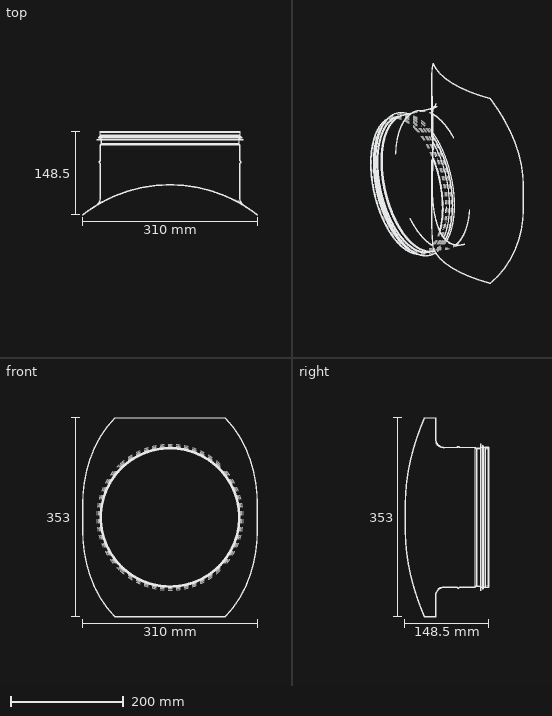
import cadquery as cq
import math


wall = 0.5
duct_inner_radius = 250.0
duct_outer_radius = duct_inner_radius + wall

flange_width = 310.0
flange_height = 353.0
straight_side = 44.0
side_arc_radius = 212.0
side_curve_steps = 8

tube_outer_radius = 247.9 / 2
tube_inner_radius = tube_outer_radius - wall
flare_radius = 15.0
total_depth = 148.47
flange_tip_y = math.sqrt(duct_inner_radius**2 - (flange_width / 2)**2)
end_y = flange_tip_y + total_depth

bead_center_y = end_y - 54.3
bead_half_width = 3.2
bead_height = 1.9
collar_start_y = bead_center_y - bead_half_width

groove_outer_radius = 244.1 / 2
groove_inner_radius = groove_outer_radius - wall
groove_step_y = end_y - 24.4
groove_floor_y = end_y - 22.0
fold_outer_radius = 248.9 / 2
fold_inner_radius = fold_outer_radius - wall
fold_end_y = end_y - 6.4
fold_bend_radius = (fold_outer_radius - groove_inner_radius) / 2
bend_center_radius = (fold_outer_radius + groove_inner_radius) / 2
bend_center_y = end_y - fold_bend_radius

gasket_base_radius = fold_inner_radius
gasket_skirt_radius = 245.3 / 2
gasket_end_y = end_y - 21.0
small_lip_radius = 254.3 / 2
small_lip_root_y = end_y - 8.3
small_lip_lean = 2.4
large_lip_radius = 259.3 / 2
large_lip_y = end_y - 13.9
lip_thickness = 1.0


def branch_cylinder(radius, length):
    return cq.Workplane("XZ").circle(radius).extrude(-length)


def flared_tee(duct_radius, branch_radius, flare):
    """Solid duct with a solid branch, blended where the branch leaves the duct."""
    duct = cq.Workplane("XY").circle(duct_radius).extrude(flange_height, both=True)
    tee = duct.union(branch_cylinder(branch_radius, collar_start_y))
    margin = 1.0
    reach = branch_radius + margin
    near_joint = cq.selectors.BoxSelector(
        (-reach, margin, -reach),
        (reach, collar_start_y - margin, reach),
        boundingbox=True,
    )
    return tee.edges(near_joint).fillet(flare)


def flange_side_x(z):
    """Half width of the curved flange at height z, for heights beyond the straight stretch.

    In the flat sheet the side is an arc tangent to the straight stretch; curving the sheet
    around the duct turns the flat half width into an arc length.
    """
    flat_half_width = duct_inner_radius * math.asin(flange_width / 2 / duct_inner_radius)
    above_straight = z - straight_side / 2
    inset = side_arc_radius - math.sqrt(side_arc_radius**2 - above_straight**2)
    return duct_inner_radius * math.sin((flat_half_width - inset) / duct_inner_radius)


def flange_blank():
    """Outline of the flange, swept along Y: straight sides running into curved corners."""
    half_width = flange_width / 2
    half_height = flange_height / 2
    half_straight = straight_side / 2
    step = (half_height - half_straight) / side_curve_steps
    heights = [half_straight + step * i for i in range(1, side_curve_steps + 1)]
    curve = [(flange_side_x(z), z) for z in heights]
    quadrant = (
        cq.Workplane("XZ")
        .lineTo(half_width, 0)
        .lineTo(half_width, half_straight)
        .spline(curve, includeCurrent=True)
        .lineTo(0, half_height)
        .close()
        .extrude(-end_y)
    )
    half = quadrant.union(quadrant.mirror("YZ"))
    return half.union(half.mirror("XY"))


def make_saddle():
    outside = flared_tee(duct_outer_radius, tube_outer_radius, flare_radius)
    inside = flared_tee(duct_inner_radius, tube_inner_radius, flare_radius + wall)
    return outside.cut(inside).intersect(flange_blank())


def add_bead(profile, base_radius, direction):
    """Append a smooth bead of three tangent arcs, from the profile's current point along +Y or -Y."""
    quarter = bead_half_width / 2
    mid_radius = base_radius + bead_height / 2
    arc_radius = (quarter**2 + (bead_height / 2)**2) / bead_height
    return (
        profile.radiusArc((mid_radius, bead_center_y - quarter * direction), arc_radius * direction)
        .tangentArcPoint((mid_radius, bead_center_y + quarter * direction), relative=False)
        .tangentArcPoint((base_radius, bead_center_y + bead_half_width * direction), relative=False)
    )


def make_collar():
    """Free end of the tube: bead, gasket groove and rim folded back over the groove."""
    inner_bend = fold_bend_radius - wall
    profile = cq.Workplane("XY").moveTo(tube_outer_radius, collar_start_y)
    profile = (
        add_bead(profile, tube_outer_radius, 1)
        .lineTo(tube_outer_radius, groove_step_y)
        .lineTo(groove_outer_radius, groove_floor_y)
        .lineTo(groove_outer_radius, bend_center_y)
        .threePointArc((bend_center_radius, bend_center_y + inner_bend), (fold_inner_radius, bend_center_y))
        .lineTo(fold_inner_radius, fold_end_y)
        .lineTo(fold_outer_radius, fold_end_y)
        .lineTo(fold_outer_radius, bend_center_y)
        .threePointArc((bend_center_radius, end_y), (groove_inner_radius, bend_center_y))
        .lineTo(groove_inner_radius, groove_floor_y)
        .lineTo(tube_inner_radius, groove_step_y)
        .lineTo(tube_inner_radius, bead_center_y + bead_half_width)
    )
    return add_bead(profile, tube_inner_radius, -1).close().revolve(360, (0, 0), (0, 1))


def make_gasket():
    """Ring filling the groove under the fold, with a leaning small lip and a straight large lip."""
    return (
        cq.Workplane("XY")
        .moveTo(groove_outer_radius, bend_center_y)
        .lineTo(gasket_base_radius, bend_center_y)
        .lineTo(gasket_base_radius, small_lip_root_y)
        .lineTo(small_lip_radius, small_lip_root_y - small_lip_lean)
        .lineTo(small_lip_radius, small_lip_root_y - small_lip_lean - lip_thickness)
        .lineTo(gasket_base_radius, small_lip_root_y - lip_thickness)
        .lineTo(gasket_base_radius, large_lip_y)
        .lineTo(large_lip_radius, large_lip_y)
        .lineTo(large_lip_radius, large_lip_y - lip_thickness)
        .lineTo(gasket_skirt_radius, large_lip_y - lip_thickness)
        .lineTo(gasket_skirt_radius, gasket_end_y)
        .lineTo(groove_outer_radius, gasket_end_y)
        .close()
        .revolve(360, (0, 0), (0, 1))
    )


fitting = make_saddle().union(make_collar())
gasket = make_gasket()

result = cq.Compound.makeCompound([fitting.val(), gasket.val()])